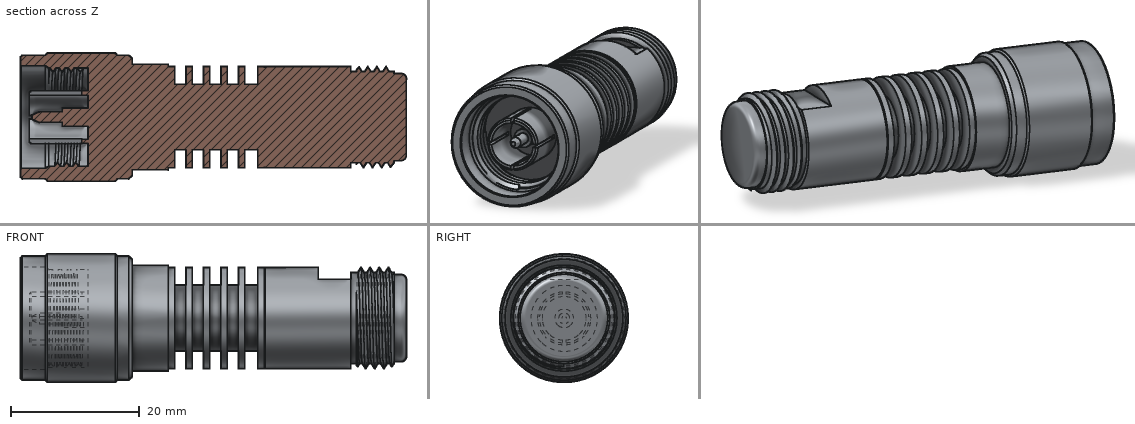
import cadquery as cq

TOTAL_LENGTH = 60.0

NUT_RADIUS = 10.0
NUT_COLLAR_RADIUS = 9.65
NUT_REAR_RADIUS = 9.15
NUT_EDGE = 0.3
GRIP_START = 3.9
GRIP_END = 15.05
NUT_END = 17.4
NUT_REAR_CHAMFER = 0.6

SHOULDER_RADIUS = 8.25
SHOULDER_END = 23.0

BODY_RADIUS = 7.9
FIN_CORE_RADIUS = 5.15
FIN_COUNT = 5
FIN_THICKNESS = 1.0
FIN_PITCH = 2.72

BODY_START = 36.85
BODY_END = 51.35
GROOVE_START = BODY_START + FIN_THICKNESS
GROOVE_WIDTH = 0.15
GROOVE_DEPTH = 0.1
FLAT_HEIGHT = 6.05
FLAT_START = 46.3

THREAD_PITCH = 1.42
THREAD_BASE = 1.1
THREAD_OVERLAP = 0.1

THREAD_ROOT_RADIUS = 7.1
THREAD_CREST_RADIUS = 7.9
THREAD_START = 52.2
THREAD_END = 58.05
THREAD_HELIX_START = THREAD_START - THREAD_PITCH
THREAD_TURNS = 5.0
THREAD_LEAD_IN = 0.5
THREAD_LEAD_IN_RADIUS = 7.35
THREAD_RUN_OUT = 0.65
SOCKET_LIP_RADIUS = 6.8
SOCKET_LIP_ROUND = 0.9

MOUTH_RADIUS = 7.95
MOUTH_CHAMFER = 0.15
MOUTH_DEPTH = 3.9
BORE_RADIUS = 7.6
BORE_CONE = 0.5
CAVITY_DEPTH = 10.5
NUT_THREAD_CREST = 7.0
NUT_THREAD_START = 4.7
NUT_THREAD_TURNS = 3.25

SLEEVE_RADIUS = 4.13
SLEEVE_BORE_RADIUS = 3.4
SLEEVE_START = 1.35
SLEEVE_CHAMFER = 0.3
SLOT_WIDTH = 0.5
SLOT_END = 9.5
PIN_RADIUS = 0.85
PIN_TIP_RADIUS = 0.35
PIN_TIP_LENGTH = 1.1
PIN_START = 1.8
PIN_SHOULDER_RADIUS = 1.45
PIN_SHOULDER_START = 6.5


def revolve(outline):
    """Revolve (x, radius) points about the X axis."""
    return cq.Workplane("XY").polyline(outline).close().revolve(360, (0, 0, 0), (1, 0, 0))


def cylinder(start, end, radius):
    return cq.Workplane("YZ", origin=(start, 0, 0)).circle(radius).extrude(end - start)


def thread_ridge(root, crest, start, turns):
    """Triangular helical ridge from the root radius to the crest radius, either outward or inward."""
    overlap = THREAD_OVERLAP if crest > root else -THREAD_OVERLAP
    helix = cq.Wire.makeHelix(THREAD_PITCH, THREAD_PITCH * turns, root)
    ridge = (
        cq.Workplane("XZ")
        .polyline([(root - overlap, -THREAD_BASE / 2), (crest, 0), (root - overlap, THREAD_BASE / 2)])
        .close()
        .sweep(cq.Workplane(obj=helix), isFrenet=True)
    )
    return ridge.rotate((0, 0, 0), (0, 1, 0), 90).translate((start, 0, 0))


def make_nut():
    return revolve(
        [
            (0, 0),
            (0, NUT_COLLAR_RADIUS - NUT_EDGE),
            (NUT_EDGE, NUT_COLLAR_RADIUS),
            (GRIP_START, NUT_COLLAR_RADIUS),
            (GRIP_START + NUT_EDGE, NUT_RADIUS),
            (GRIP_END - NUT_EDGE, NUT_RADIUS),
            (GRIP_END, NUT_COLLAR_RADIUS),
            (NUT_END - NUT_REAR_CHAMFER, NUT_COLLAR_RADIUS),
            (NUT_END, NUT_REAR_RADIUS),
            (NUT_END, 0),
        ]
    )


def make_finned_body():
    body = cylinder(NUT_END, SHOULDER_END, SHOULDER_RADIUS)
    body = body.union(cylinder(SHOULDER_END, BODY_START, FIN_CORE_RADIUS))
    for index in range(FIN_COUNT):
        start = SHOULDER_END + index * FIN_PITCH
        body = body.union(cylinder(start, start + FIN_THICKNESS, BODY_RADIUS))
    return body


def make_rear_body():
    body = cylinder(BODY_START, BODY_END, BODY_RADIUS)
    groove_end = GROOVE_START + GROOVE_WIDTH
    groove = cylinder(GROOVE_START, groove_end, BODY_RADIUS)
    groove = groove.cut(cylinder(GROOVE_START, groove_end, BODY_RADIUS - GROOVE_DEPTH))
    body = body.cut(groove)
    flat_length = BODY_END - FLAT_START
    flat_depth = BODY_RADIUS - FLAT_HEIGHT
    flat = cq.Workplane("XY").box(flat_length, 2 * BODY_RADIUS, flat_depth, centered=(False, True, False))
    return body.cut(flat.translate((FLAT_START, 0, FLAT_HEIGHT)))


def make_socket_end():
    core = cylinder(BODY_END, THREAD_END, THREAD_ROOT_RADIUS)
    lip = cylinder(THREAD_END, TOTAL_LENGTH, SOCKET_LIP_RADIUS).faces(">X").edges().fillet(SOCKET_LIP_ROUND)
    ridge = thread_ridge(THREAD_ROOT_RADIUS, THREAD_CREST_RADIUS, THREAD_HELIX_START, THREAD_TURNS)
    blank = revolve(
        [
            (THREAD_START, 0),
            (THREAD_START, THREAD_LEAD_IN_RADIUS),
            (THREAD_START + THREAD_LEAD_IN, THREAD_CREST_RADIUS),
            (THREAD_END - THREAD_RUN_OUT, THREAD_CREST_RADIUS),
            (THREAD_END, THREAD_ROOT_RADIUS),
            (THREAD_END, 0),
        ]
    )
    return core.union(lip).union(ridge.intersect(blank))


def make_cavity():
    return revolve(
        [
            (0, 0),
            (0, MOUTH_RADIUS + MOUTH_CHAMFER),
            (MOUTH_CHAMFER, MOUTH_RADIUS),
            (MOUTH_DEPTH, MOUTH_RADIUS),
            (MOUTH_DEPTH + BORE_CONE, BORE_RADIUS),
            (CAVITY_DEPTH, BORE_RADIUS),
            (CAVITY_DEPTH, 0),
        ]
    )


def make_sleeve():
    sleeve = cylinder(SLEEVE_START, CAVITY_DEPTH, SLEEVE_RADIUS).faces("<X").chamfer(SLEEVE_CHAMFER)
    sleeve = sleeve.cut(cylinder(SLEEVE_START, CAVITY_DEPTH, SLEEVE_BORE_RADIUS))
    slot_length = SLOT_END - SLEEVE_START
    for angle in (0, 90):
        slot = cq.Workplane("XY").box(slot_length, 2 * SLEEVE_RADIUS, SLOT_WIDTH, centered=(False, True, True))
        sleeve = sleeve.cut(slot.translate((SLEEVE_START, 0, 0)).rotate((0, 0, 0), (1, 0, 0), angle))
    return sleeve


def make_pin():
    return revolve(
        [
            (PIN_START, 0),
            (PIN_START, PIN_TIP_RADIUS),
            (PIN_START + PIN_TIP_LENGTH, PIN_RADIUS),
            (PIN_SHOULDER_START, PIN_RADIUS),
            (PIN_SHOULDER_START, PIN_SHOULDER_RADIUS),
            (CAVITY_DEPTH, PIN_SHOULDER_RADIUS),
            (CAVITY_DEPTH, 0),
        ]
    )


nut = make_nut().cut(make_cavity())
nut_thread = thread_ridge(BORE_RADIUS, NUT_THREAD_CREST, NUT_THREAD_START, NUT_THREAD_TURNS)
nut = nut.union(nut_thread)
plug = nut.union(make_sleeve()).union(make_pin())
result = plug.union(make_finned_body()).union(make_rear_body()).union(make_socket_end())